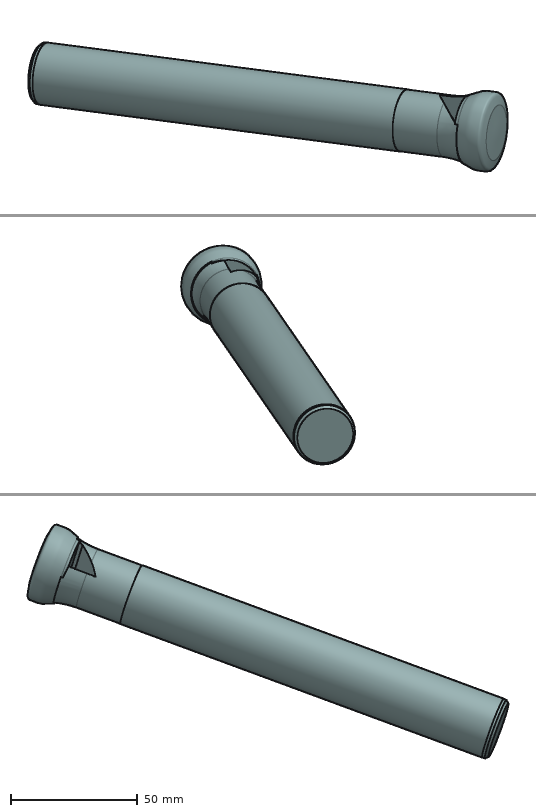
import cadquery as cq

length = 195.0
rear_chamfer_end = 1.2
rear_land_end = 2.3
shank_end = 155.4
neck_start = 174.0
head_start = 183.0
rim_start = 189.3
rim_end = 192.2
front_edge = 194.5

shank_radius = 25.0 / 2
collar_radius = 24.8 / 2
rear_face_radius = 11.3
neck_end_radius = 13.6
head_start_radius = 14.0
rim_radius = 32.0 / 2
front_face_radius = 11.1

neck_sag = 0.3
head_start_slope = 0.4
front_edge_lean = 0.3

pocket_start = 170.2
pocket_end = 181.7
pocket_wall_y = 0.5
pocket_tip_y = -11.9
pocket_start_z = 12.5
pocket_tip_z = 6.2
pocket_root_z = -6.6
ledge_length = 1.8
ledge_height = 0.4

lip_width = 5.0
lip_notch = 0.5
lip_edge_z = 5.8


def turned_body():
    """Shank, collar, flared neck and head as one revolved outline."""
    neck_middle = (
        (neck_start + head_start) / 2,
        (collar_radius + neck_end_radius) / 2 - neck_sag,
    )
    head_outline = [
        (head_start, head_start_radius),
        (rim_start, rim_radius),
        (rim_end, rim_radius),
        (front_edge, front_face_radius),
    ]
    head_tangents = [(1, head_start_slope), (1, 0), (1, 0), (front_edge_lean, -1)]
    return (
        cq.Workplane("XY")
        .moveTo(0, 0)
        .lineTo(0, rear_face_radius)
        .lineTo(rear_chamfer_end, collar_radius)
        .lineTo(rear_land_end, collar_radius)
        .lineTo(rear_land_end, shank_radius)
        .lineTo(shank_end, shank_radius)
        .lineTo(shank_end, collar_radius)
        .lineTo(neck_start, collar_radius)
        .threePointArc(neck_middle, (head_start, neck_end_radius))
        .lineTo(head_start, head_start_radius)
        .spline(head_outline[1:], tangents=head_tangents, includeCurrent=True)
        .lineTo(length, 0)
        .close()
        .revolve(360, (0, 0, 0), (1, 0, 0))
    )


def head_lip():
    """Ring sector, flush with the head, over and beside the end of the pocket."""
    lip_length = head_start - pocket_end
    ring = (
        cq.Workplane("XY")
        .moveTo(pocket_end, 0)
        .lineTo(pocket_end, head_start_radius - head_start_slope * lip_length)
        .lineTo(head_start, head_start_radius)
        .lineTo(head_start, 0)
        .close()
        .revolve(360, (0, 0, 0), (1, 0, 0))
    )
    sector = (
        cq.Workplane("XY", origin=(0, 0, lip_edge_z))
        .moveTo(pocket_end, -rim_radius)
        .lineTo(pocket_end, pocket_wall_y)
        .lineTo(pocket_end + lip_notch, pocket_wall_y + lip_width)
        .lineTo(head_start, pocket_wall_y + lip_width)
        .lineTo(head_start, -rim_radius)
        .close()
        .extrude(rim_radius)
    )
    return ring.intersect(sector)


def pocket():
    """Corner cut with two upright walls and a floor sloping into the corner, ledged at the head."""
    rim_start_point = cq.Vector(pocket_start, pocket_wall_y, pocket_start_z)
    tip_point = cq.Vector(pocket_end, pocket_tip_y, pocket_tip_z)
    root_point = cq.Vector(pocket_end, pocket_wall_y, pocket_root_z)
    along_start = rim_start_point - root_point
    along_tip = tip_point - root_point
    floor_plane = cq.Plane(
        origin=root_point.toTuple(),
        xDir=along_start.toTuple(),
        normal=along_start.cross(along_tip).toTuple(),
    )
    above_floor = cq.Workplane(floor_plane).rect(length, length).extrude(length)
    corner = cq.Workplane("XY").box(
        pocket_end - pocket_start,
        2 * rim_radius,
        2 * rim_radius,
    ).translate(((pocket_start + pocket_end) / 2, pocket_wall_y - rim_radius, 0))
    ledge_zone = corner.translate((pocket_end - pocket_start - ledge_length, 0, 0))
    main_cut = corner.cut(ledge_zone).intersect(above_floor)
    ledge_cut = corner.intersect(ledge_zone).intersect(above_floor.translate((0, 0, ledge_height)))
    return main_cut.union(ledge_cut)


result = turned_body().union(head_lip()).cut(pocket())